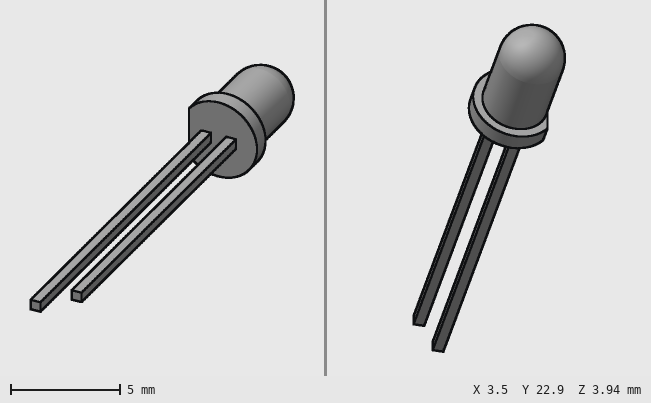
import cadquery as cq

total_length = 22.85
long_lead_length = 17.15
short_lead_length = 15.52
lead_width = 0.5
lead_pitch = 1.28

body_radius = 1.53
flange_radius = 1.97
flange_thickness = 0.87

dome_start = total_length - long_lead_length - body_radius


def make_body():
    """Cylinder with a hemispherical end, revolved about the Y axis."""
    arc_offset = body_radius * 0.5 ** 0.5
    return (
        cq.Workplane("XY")
        .lineTo(body_radius, 0)
        .lineTo(body_radius, dome_start)
        .threePointArc((arc_offset, dome_start + arc_offset), (0, dome_start + body_radius))
        .close()
        .revolve(360, (0, 0), (0, 1))
    )


def make_flange():
    """Round flange with a flat on -X, tangent to the body."""
    disc = cq.Workplane("XZ").circle(flange_radius).extrude(-flange_thickness)
    kept_side = cq.Workplane("XY").box(
        body_radius + flange_radius,
        flange_thickness,
        2 * flange_radius,
        centered=(False, False, True),
    ).translate((-body_radius, 0, 0))
    return disc.intersect(kept_side)


def make_lead(x_center, length):
    """Square lead running toward -Y from the flange underside."""
    return cq.Workplane("XZ").center(x_center, 0).rect(lead_width, lead_width).extrude(length)


result = (
    make_body()
    .union(make_flange())
    .union(make_lead(-lead_pitch / 2, long_lead_length))
    .union(make_lead(lead_pitch / 2, short_lead_length))
)